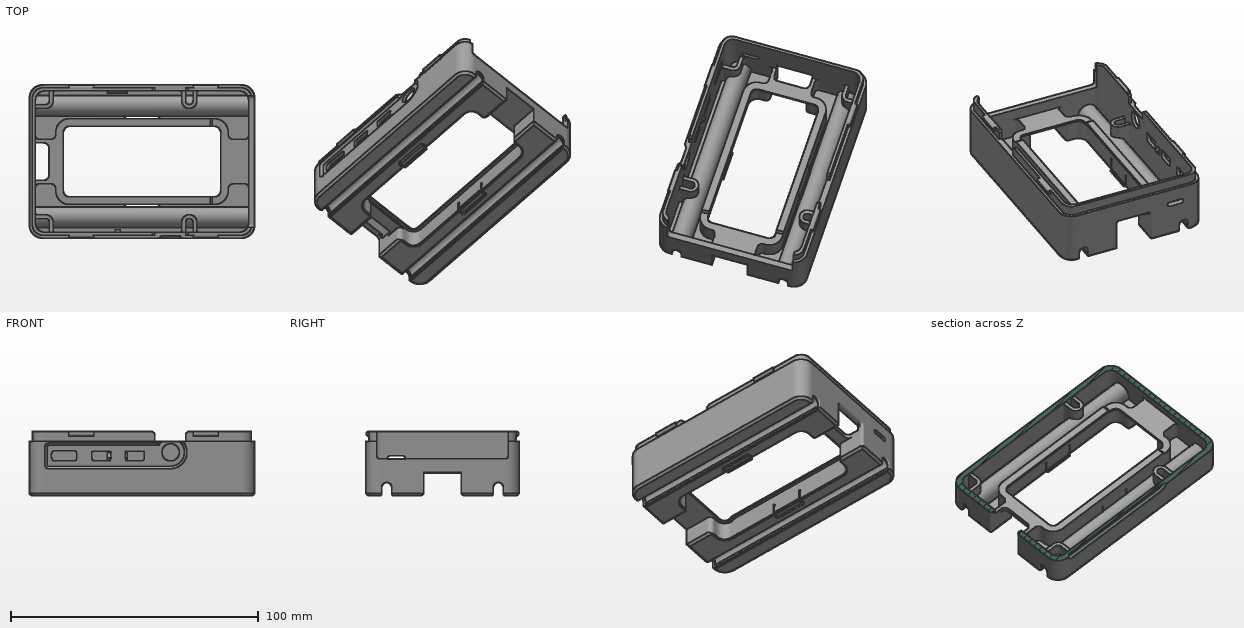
import cadquery as cq
import math


LENGTH = 91.0
WIDTH = 62.0
HEIGHT = 26.0
SHOULDER_Z = 22.0
CORNER_RADIUS = 5.5
WALL = 2.5
INNER_RADIUS = 3.75
LIP_STEP = WALL / 2
FLOOR = 2.0
BASE_CHAMFER = 1.0
EPS = 1.0

INNER_X = LENGTH / 2 - WALL
INNER_Y = WIDTH / 2 - WALL
LIP_Y = WIDTH / 2 - LIP_STEP

DECK_Z = 11.0
DECK_LENGTH = 69.6
DECK_WIDTH = 34.6
DECK_RADIUS = 5.5
DECK_WALL = 2.0
DECK_HOLLOW_RADIUS = 4.0
DECK_HOLLOW_CHAMFER = 0.5
DECK_PLATE = 0.8
DECK_DROP = 0.8
RAMP_X = 27.5
ARM_WIDTH = 18.0
ARM_WALL = 1.5
ARM_FILLET = 2.0
ARM_WALL_FILLET = 1.5
CARD_PLATE = 2.0
WINDOW_LENGTH = 63.4
WINDOW_WIDTH = 28.4
WINDOW_RADIUS = 2.5

TONGUE_HALF = 7.0
SLIT_WIDTH = 0.7
SLIT_HEIGHT = 5.5
TONGUE_GAP = 0.95
TONGUE_GAP_RADIUS = 0.8
HOOK_REACH = 0.6
HOOK_LAND = 0.2
HOOK_HEIGHT = 0.8

CHANNEL_Y = 22.5
CHANNEL_Z = 3.3
CHANNEL_RADIUS = 2.0
ARCH_CLEARANCE = 0.01
PIPE_RADIUS = 4.25
BORE_RADIUS = 2.5
BORE_END_WALL = 1.0
CHANNEL_ROUNDING = 0.5
CHANNEL_BEVEL = 0.5

POST_X = (-38.9, 19.1)
POST_Y = 24.5
POST_TOP = 12.8
POST_RADIUS = 3.05
POST_BORE_RADIUS = 1.5
POST_FLARE = 0.7

CARD_WIDTH = ARM_WIDTH - 2 * ARM_WALL
CARD_TOP = 13.4
CARD_CORNER = 1.0
CARD_ROUNDING = 1.0
CARD_NOTCH_X = -37.6
CARD_NOTCH_RADIUS = 2.0
SLOT_Y = -18.6
SLOT_Z = 15.1
SLOT_LENGTH = 7.1
SLOT_HEIGHT = 2.0

END_CUT_Z = 14.9
END_CUT_HALF = 26.5
END_CUT_FILLET = 1.25

LIP_GAP_START = 5.2
LIP_GAP_END = 17.6
LIP_GAP_CHAMFER = 1.0
CATCH_X = (-24.5, 25.75)
CATCH_LENGTH = 10.0
CATCH_RADIUS = 1.0

PANEL_LEFT = -39.2
PANEL_BOTTOM = 10.95
PANEL_TOP = 21.3
PANEL_CORNER = 1.5
PANEL_DEPTH = 1.0
JACK_X = 11.55
JACK_DIAMETER = 7.0
PORT_BOTTOM = 14.05
JACK_Z = PORT_BOTTOM + JACK_DIAMETER / 2
USB_X = -31.4
USB_WIDTH = 10.3
USB_HEIGHT = 4.2
USB_RADIUS = 1.5
VIDEO_X = (-16.4, -2.9)
VIDEO_WIDTH = 7.65
VIDEO_HEIGHT = 3.85
VIDEO_LOW_RADIUS = 1.2
VIDEO_TOP_RADIUS = 0.4

WEDGE_BOTTOM = 14.2
WEDGE_PEAK = 15.3
WEDGE_TOP = 17.3
WEDGE_REACH = 1.0
REAR_WEDGE_SPAN = (-14.0, -6.0)
FRONT_WEDGE_SPAN = (-10.8, -8.75)


def box(x_span, y_span, z_span):
    """Box between pairs of limits along each axis."""
    size = [span[1] - span[0] for span in (x_span, y_span, z_span)]
    low = (x_span[0], y_span[0], z_span[0])
    return cq.Workplane("XY").box(*size, centered=False).translate(low)


def rounded_block(length, width, radius, bottom, top):
    """Block centred on Z with rounded vertical edges."""
    block = cq.Workplane("XY").workplane(offset=bottom).rect(length, width).extrude(top - bottom)
    return block.edges("|Z").fillet(radius)


def corner_fill(x, y, side_x, side_y, radius, bottom, top):
    """Web that rounds the inside corner at (x, y); the sides point along the two walls."""
    mid = radius * (1 - math.sqrt(0.5))
    return (
        cq.Workplane("XY", origin=(0, 0, bottom))
        .moveTo(x, y)
        .lineTo(x + side_x * radius, y)
        .threePointArc((x + side_x * mid, y + side_y * mid), (x, y + side_y * radius))
        .close()
        .extrude(top - bottom)
    )


def mirrored_pair(shape):
    """The shape together with its mirror image across the XZ plane."""
    return shape.union(shape.mirror("XZ"))


def make_shell():
    body = rounded_block(LENGTH, WIDTH, CORNER_RADIUS, 0, SHOULDER_Z)
    body = body.faces("<Z").edges().chamfer(BASE_CHAMFER)
    lip_inset = 2 * LIP_STEP
    lip = rounded_block(
        LENGTH - lip_inset, WIDTH - lip_inset, CORNER_RADIUS - LIP_STEP, SHOULDER_Z - EPS, HEIGHT
    )
    return body.union(lip).cut(make_cavity())


def make_cavity():
    return rounded_block(2 * INNER_X, 2 * INNER_Y, INNER_RADIUS, FLOOR, HEIGHT + EPS)


def deck_prism(ring_inset, ring_radius, arm_inset, arm_reach):
    """Deck outline, moved inwards by the insets, as a tall prism standing on the underside."""
    bottom = 0
    top = HEIGHT
    half_arm = ARM_WIDTH / 2 - arm_inset
    ring_x = DECK_LENGTH / 2 - ring_inset
    prism = rounded_block(2 * ring_x, DECK_WIDTH - 2 * ring_inset, ring_radius, bottom, top)
    prism = prism.union(box((-arm_reach, arm_reach), (-half_arm, half_arm), (bottom, top)))
    for side_x in (-1, 1):
        for side_y in (-1, 1):
            prism = prism.union(
                corner_fill(side_x * ring_x, side_y * half_arm, side_x, side_y,
                            ARM_FILLET, bottom, top)
            )
    return prism


def side_profile(points):
    """Prism across the full width with the given XZ outline."""
    return cq.Workplane("XZ").polyline(points).close().extrude(WIDTH, both=True)


def make_deck():
    deck = deck_prism(0, DECK_RADIUS, 0, INNER_X + EPS)
    for side_x in (-1, 1):
        for side_y in (-1, 1):
            deck = deck.union(
                corner_fill(side_x * INNER_X, side_y * ARM_WIDTH / 2, -side_x, side_y,
                            ARM_WALL_FILLET, -EPS, HEIGHT)
            )
    end_x = INNER_X + EPS
    low_z = DECK_Z - DECK_DROP
    return deck.intersect(
        side_profile([
            (-end_x, 0),
            (-end_x, DECK_Z),
            (RAMP_X, DECK_Z),
            (RAMP_X + DECK_DROP, low_z),
            (end_x, low_z),
            (end_x, 0),
        ])
    )


def bevel_frustum(length, width, bevel):
    """Frustum on the underside whose 45 degree sides close in to length by width."""
    return (
        cq.Workplane("XY")
        .rect(length + 2 * bevel, width + 2 * bevel)
        .extrude(bevel, taper=45)
    )


def make_hollow_bevels():
    """Bevels along the bottom edges of the ring hollow and of the arm walls."""
    ring = (
        cq.Workplane("XY")
        .sketch()
        .rect(
            DECK_LENGTH - 2 * DECK_WALL + 2 * DECK_HOLLOW_CHAMFER,
            DECK_WIDTH - 2 * DECK_WALL + 2 * DECK_HOLLOW_CHAMFER,
        )
        .vertices()
        .fillet(DECK_HOLLOW_RADIUS + DECK_HOLLOW_CHAMFER)
        .finalize()
        .extrude(DECK_HOLLOW_CHAMFER, taper=45)
    )
    arms = bevel_frustum(LENGTH + 4 * EPS, CARD_WIDTH, BASE_CHAMFER)
    return ring.union(arms)


def make_deck_hollow():
    """Space under the deck, running out through both end walls."""
    end_x = LENGTH / 2 + EPS
    card_x = -DECK_LENGTH / 2 + DECK_WALL
    under_z = DECK_Z - DECK_PLATE
    hollow = deck_prism(DECK_WALL, DECK_HOLLOW_RADIUS, ARM_WALL, end_x)
    hollow = hollow.union(make_hollow_bevels())
    return hollow.intersect(
        side_profile([
            (-end_x, -EPS),
            (-end_x, DECK_Z - CARD_PLATE),
            (card_x, DECK_Z - CARD_PLATE),
            (card_x, under_z),
            (RAMP_X, under_z),
            (RAMP_X + DECK_DROP, under_z - DECK_DROP),
            (end_x, under_z - DECK_DROP),
            (end_x, -EPS),
        ])
    )


def make_window():
    return rounded_block(WINDOW_LENGTH, WINDOW_WIDTH, WINDOW_RADIUS, -EPS, HEIGHT)


def make_tongue_cuts():
    """Slits beside each latch tongue and the gap in the floor behind it."""
    outer_y = DECK_WIDTH / 2
    inner_y = outer_y - DECK_WALL
    gap = box((-TONGUE_HALF, TONGUE_HALF), (outer_y, outer_y + TONGUE_GAP), (-EPS, FLOOR + EPS))
    gap = gap.edges("|Z and >Y").fillet(TONGUE_GAP_RADIUS)
    slit = box((TONGUE_HALF - SLIT_WIDTH, TONGUE_HALF), (inner_y - EPS, outer_y), (-EPS, SLIT_HEIGHT))
    return mirrored_pair(gap.union(slit).union(slit.mirror("YZ")))


def make_hooks():
    inner_y = DECK_WIDTH / 2 - DECK_WALL
    half = TONGUE_HALF - SLIT_WIDTH
    hook = (
        cq.Workplane("YZ", origin=(-half, 0, 0))
        .polyline([
            (inner_y, 0),
            (inner_y - HOOK_REACH, 0),
            (inner_y - HOOK_REACH, HOOK_LAND),
            (inner_y, HOOK_HEIGHT),
        ])
        .close()
        .extrude(2 * half)
    )
    return mirrored_pair(hook)


def make_pipes():
    pipe = (
        cq.Workplane("YZ", origin=(-INNER_X, 0, 0))
        .center(CHANNEL_Y, CHANNEL_Z)
        .circle(PIPE_RADIUS)
        .extrude(2 * INNER_X)
        .intersect(box((-INNER_X, INNER_X), (0, WIDTH), (0, HEIGHT)))
    )
    return mirrored_pair(pipe)


def arch_prism(width, top, radius, length):
    """Arched opening that runs inwards from the -X face and is open at the bottom."""
    bottom = -2 * EPS
    block = (
        cq.Workplane("YZ", origin=(-LENGTH / 2, 0, (top + bottom) / 2))
        .rect(width, top - bottom)
        .extrude(length)
    )
    return block.edges("|X and >Z").fillet(radius)


def round_mouth(opening, width, top, rounding):
    """Flare the -X end of an arched opening so that the edge it cuts comes out rounded."""
    face_x = -LENGTH / 2
    margin = width / 2 + 2 * rounding
    outside = box((face_x - EPS, face_x), (-margin, margin), (-2 * EPS, top + 2 * rounding))
    reach = (width + rounding) / 2
    mouth_edges = cq.selectors.BoxSelector(
        (face_x - EPS / 2, -reach, -EPS),
        (face_x + EPS / 2, reach, top + rounding / 2),
    )
    return opening.union(outside).edges(mouth_edges).fillet(rounding)


def make_channels():
    width = 2 * CHANNEL_RADIUS
    top = CHANNEL_Z + CHANNEL_RADIUS
    bore_x = LENGTH / 2 - BORE_END_WALL
    channel = arch_prism(width, top, CHANNEL_RADIUS - ARCH_CLEARANCE, LENGTH + EPS)
    channel = round_mouth(channel, width, top, CHANNEL_ROUNDING)
    bore = (
        cq.Workplane("YZ", origin=(0, 0, CHANNEL_Z))
        .circle(BORE_RADIUS)
        .extrude(bore_x, both=True)
    )
    bevel = bevel_frustum(LENGTH + 2 * EPS, width, CHANNEL_BEVEL)
    channel = channel.union(bore).union(bevel)
    return mirrored_pair(channel.translate((0, CHANNEL_Y, 0)))


def post_prism(x, radius, to_end_wall):
    """Round prism on a board hole, carried to the side wall and optionally the end wall."""
    z_span = (FLOOR, POST_TOP)
    prism = cq.Workplane("XY", origin=(x, POST_Y, FLOOR)).circle(radius).extrude(POST_TOP - FLOOR)
    prism = prism.union(box((x - radius, x + radius), (POST_Y, INNER_Y), z_span))
    if to_end_wall:
        prism = prism.union(box((-INNER_X, x), (POST_Y - radius, INNER_Y), z_span))
    return prism


def make_posts():
    corner_x, middle_x = POST_X
    low_y = POST_Y - POST_RADIUS
    posts = post_prism(corner_x, POST_RADIUS, True).union(post_prism(middle_x, POST_RADIUS, False))
    flares = [
        (corner_x + POST_RADIUS, INNER_Y, 1),
        (-INNER_X, low_y, 1),
        (middle_x - POST_RADIUS, INNER_Y, -1),
        (middle_x + POST_RADIUS, INNER_Y, 1),
    ]
    for x, y, side_x in flares:
        posts = posts.union(corner_fill(x, y, side_x, -1, POST_FLARE, FLOOR, POST_TOP))
    posts = posts.cut(post_prism(corner_x, POST_BORE_RADIUS, True))
    posts = posts.cut(post_prism(middle_x, POST_BORE_RADIUS, False))
    return mirrored_pair(posts).intersect(make_cavity())


def make_end_wall_openings():
    through = arch_prism(CARD_WIDTH, CARD_TOP, CARD_CORNER, WALL)
    through = round_mouth(through, CARD_WIDTH, CARD_TOP, CARD_ROUNDING)
    half = CARD_WIDTH / 2
    notch = box((-INNER_X - EPS, CARD_NOTCH_X), (-half, half), (-EPS, CARD_TOP))
    notch = notch.edges("|Z and >X").fillet(CARD_NOTCH_RADIUS)
    slot = (
        cq.Workplane("YZ", origin=(-LENGTH / 2 - EPS, SLOT_Y, SLOT_Z))
        .slot2D(SLOT_LENGTH, SLOT_HEIGHT)
        .extrude(WALL + 2 * EPS)
    )
    return through.union(notch).union(slot)


def make_far_end_cut():
    cut = box((INNER_X - EPS, LENGTH), (-END_CUT_HALF, END_CUT_HALF), (END_CUT_Z, HEIGHT + EPS))
    return cut.edges("|X and <Z").fillet(END_CUT_FILLET)


def make_lip_gap():
    """Gap through both long lips, with the top corners of the lip bevelled."""
    z_span = (SHOULDER_Z, HEIGHT + EPS)
    gap = box((LIP_GAP_START, LIP_GAP_END), (-WIDTH / 2, WIDTH / 2), z_span)
    for x, side in ((LIP_GAP_START, -1), (LIP_GAP_END, 1)):
        bevel = side_profile([
            (x, HEIGHT),
            (x, HEIGHT - LIP_GAP_CHAMFER),
            (x + side * LIP_GAP_CHAMFER, HEIGHT),
        ])
        gap = gap.union(bevel)
    return gap


def make_catches():
    """Half-round snap bars on the outside of the long lips."""
    catches = cq.Workplane("XY")
    for x in CATCH_X:
        bar = (
            cq.Workplane("YZ", origin=(x, LIP_Y, HEIGHT - CATCH_RADIUS))
            .circle(CATCH_RADIUS)
            .extrude(CATCH_LENGTH / 2, both=True)
        )
        catches = catches.union(bar)
    return mirrored_pair(catches)


def make_panel():
    """Recess with 45 degree walls: a rectangle that ends in a circle around the jack."""
    radius = JACK_Z - PANEL_BOTTOM
    face = cq.Workplane("XZ", origin=(0, -WIDTH / 2, 0))
    width = JACK_X - PANEL_LEFT
    height = PANEL_TOP - PANEL_BOTTOM
    sketch = cq.Sketch().rect(width + PANEL_CORNER, height).vertices().fillet(PANEL_CORNER)
    center_x = (PANEL_LEFT + JACK_X + PANEL_CORNER) / 2
    bar = (
        face.center(center_x, (PANEL_TOP + PANEL_BOTTOM) / 2)
        .placeSketch(sketch)
        .extrude(-PANEL_DEPTH, taper=45)
    )
    disc = face.center(JACK_X, JACK_Z).circle(radius).extrude(-PANEL_DEPTH, taper=45)
    below_shoulder = box((-LENGTH, LENGTH), (-WIDTH, 0), (0, SHOULDER_Z))
    return bar.union(disc).intersect(below_shoulder)


def port_block(x, width, height):
    return box(
        (x - width / 2, x + width / 2),
        (-WIDTH / 2 - EPS, -INNER_Y + EPS / 2),
        (PORT_BOTTOM, PORT_BOTTOM + height),
    )


def make_ports():
    ports = port_block(USB_X, USB_WIDTH, USB_HEIGHT).edges("|Y").fillet(USB_RADIUS)
    for x in VIDEO_X:
        video = port_block(x, VIDEO_WIDTH, VIDEO_HEIGHT)
        video = video.edges("|Y and <Z").fillet(VIDEO_LOW_RADIUS)
        video = video.edges("|Y and >Z").fillet(VIDEO_TOP_RADIUS)
        ports = ports.union(video)
    jack = (
        cq.Workplane("XZ", origin=(JACK_X, -WIDTH / 2, JACK_Z))
        .circle(JACK_DIAMETER / 2)
        .extrude(-WALL - EPS / 2)
    )
    return ports.union(jack)


def make_wedge(span, side):
    """Triangular bar on a long wall; side is -1 for the -Y wall and 1 for the +Y wall."""
    return (
        cq.Workplane("YZ", origin=(span[0], 0, 0))
        .polyline([
            (side * INNER_Y, WEDGE_BOTTOM),
            (side * (INNER_Y - WEDGE_REACH), WEDGE_PEAK),
            (side * INNER_Y, WEDGE_TOP),
        ])
        .close()
        .extrude(span[1] - span[0])
    )


shell = make_shell().cut(make_lip_gap()).union(make_catches().cut(make_cavity()))
inside = make_posts().union(make_pipes()).cut(deck_prism(0, DECK_RADIUS, 0, LENGTH))
case = shell.union(inside).union(make_deck())
case = case.cut(make_deck_hollow()).cut(make_window())
case = case.cut(make_tongue_cuts()).union(make_hooks())
case = case.cut(make_channels()).cut(make_end_wall_openings()).cut(make_far_end_cut())
case = case.cut(make_panel()).cut(make_ports())
case = case.union(make_wedge(REAR_WEDGE_SPAN, 1)).union(make_wedge(FRONT_WEDGE_SPAN, -1))

result = case